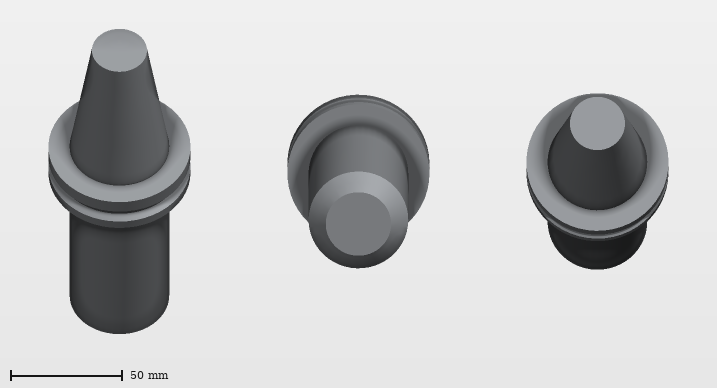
import cadquery as cq

total_height = 182.5
flange_diameter = 63.5
body_diameter = 44.5

taper_length = 68.3
taper_ratio = 7 / 24
land_height = 0.5

upper_rim_height = 6.8
lower_rim_height = 4.5
groove_floor_height = 3.8
groove_floor_diameter = 57.1
groove_flank_height = 1.6

nose_diameter = 29.2
nose_height = 7.7

flange_radius = flange_diameter / 2
body_radius = body_diameter / 2
groove_radius = groove_floor_diameter / 2
nose_radius = nose_diameter / 2
taper_tip_radius = body_radius - taper_length * taper_ratio / 2

taper_base_z = total_height - taper_length
flange_top_z = taper_base_z - land_height
groove_top_z = flange_top_z - upper_rim_height
floor_top_z = groove_top_z - groove_flank_height
floor_bottom_z = floor_top_z - groove_floor_height
groove_bottom_z = floor_bottom_z - groove_flank_height
flange_bottom_z = groove_bottom_z - lower_rim_height

half_section = [
    (0, 0),
    (nose_radius, 0),
    (body_radius, nose_height),
    (body_radius, flange_bottom_z),
    (flange_radius, flange_bottom_z),
    (flange_radius, groove_bottom_z),
    (groove_radius, floor_bottom_z),
    (groove_radius, floor_top_z),
    (flange_radius, groove_top_z),
    (flange_radius, flange_top_z),
    (body_radius, flange_top_z),
    (body_radius, taper_base_z),
    (taper_tip_radius, total_height),
    (0, total_height),
]

result = cq.Workplane("XZ").polyline(half_section).close().revolve(360, (0, 0), (0, 1))